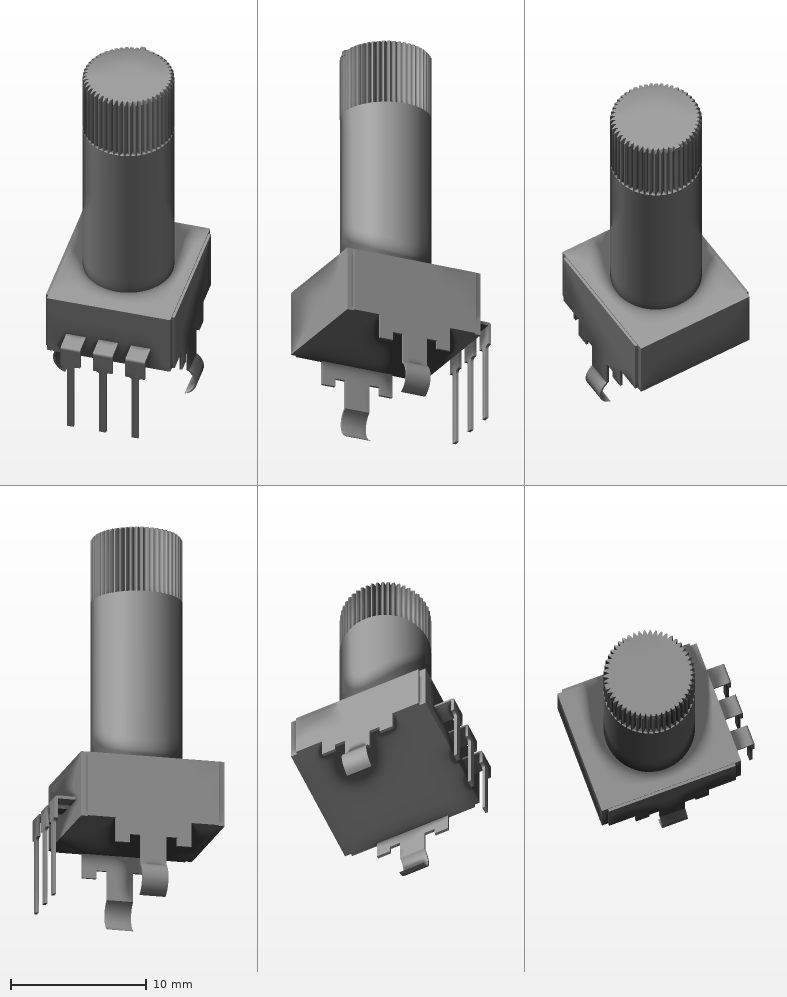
import cadquery as cq
import math


OVERALL_HEIGHT = 28.93

HOUSING_WIDTH = 9.5
HOUSING_DEPTH = 11.0
HOUSING_HEIGHT = 4.98

SHAFT_DIAMETER = 6.8
SHAFT_RADIUS = SHAFT_DIAMETER / 2
SHAFT_TOP = 23.17
HEAD_LENGTH = 5.0
HEAD_CHAMFER = 0.2
GROOVE_COUNT = 50
GROOVE_DEPTH = 0.4
GROOVE_WIDTH = 0.35

POINTER_WIDTH = 0.4
POINTER_LENGTH = 0.8
POINTER_HEIGHT = 0.4

TERMINAL_COUNT = 3
TERMINAL_PITCH = 2.5
TERMINAL_WIDTH = 1.5
TERMINAL_THICKNESS = 0.23
TERMINAL_TOP = 1.88
TERMINAL_REACH = 1.62
BEND_RADIUS = 0.2
SHOULDER_Z = 0.17
SHOULDER_RADIUS = 0.25
PIN_WIDTH = 0.52
PIN_BOTTOM = -5.58

SELECTION_MARGIN = 0.03

CLIP_SPAN = 11.05
CLIP_THICKNESS = 0.2
CLIP_DEPTH = 10.0
CLIP_TOP = 4.9
SKIRT_DEPTH = 5.8
SKIRT_BOTTOM = -1.85
TAB_DEPTH = 1.07
NOTCH_TOP = -1.22
HOOK_DEPTH = 2.0
HOOK_TOP = -3.38
HOOK_RADIUS = 1.33
HOOK_THICKNESS = 0.17
HOOK_SETBACK = 0.05
HOOK_BOTTOM = SHAFT_TOP - OVERALL_HEIGHT


def make_housing():
    return cq.Workplane("XY").box(
        HOUSING_WIDTH, HOUSING_DEPTH, HOUSING_HEIGHT, centered=(True, True, False)
    )


def make_pointer():
    corner = (0, SHAFT_RADIUS - POINTER_LENGTH, SHAFT_TOP - POINTER_HEIGHT)
    bar = cq.Workplane("XY").box(POINTER_WIDTH, POINTER_LENGTH, POINTER_HEIGHT, centered=False)
    return bar.translate(corner)


def make_grooves():
    """V-shaped cutters around the shaft head, the first one on the +Y side."""
    half_width = GROOVE_WIDTH / 2
    root = SHAFT_RADIUS - GROOVE_DEPTH
    cutter = (
        cq.Workplane("XY", origin=(0, 0, SHAFT_TOP - HEAD_LENGTH))
        .polyline([(0, root), (half_width, SHAFT_RADIUS), (-half_width, SHAFT_RADIUS)])
        .close()
        .extrude(HEAD_LENGTH)
        .val()
    )
    step = 360 / GROOVE_COUNT
    return [cutter.rotate((0, 0, 0), (0, 0, 1), i * step) for i in range(GROOVE_COUNT)]


def make_shaft(pointer):
    blank = (
        cq.Workplane("XY", origin=(0, 0, HOUSING_HEIGHT))
        .circle(SHAFT_RADIUS)
        .extrude(SHAFT_TOP - HOUSING_HEIGHT)
        .faces(">Z")
        .chamfer(HEAD_CHAMFER)
    )
    knurled = blank.cut(cq.Workplane(cq.Compound.makeCompound(make_grooves())))
    return knurled.cut(pointer)


def make_terminal(x):
    face = -HOUSING_DEPTH / 2
    front = face - TERMINAL_REACH
    back = front + TERMINAL_THICKNESS
    underside = TERMINAL_TOP - TERMINAL_THICKNESS
    half_width = TERMINAL_WIDTH / 2
    half_pin = PIN_WIDTH / 2

    strip = (
        cq.Workplane("YZ")
        .polyline([
            (face, TERMINAL_TOP),
            (front, TERMINAL_TOP),
            (front, PIN_BOTTOM),
            (back, PIN_BOTTOM),
            (back, underside),
            (face, underside),
        ])
        .close()
        .extrude(half_width, both=True)
        .edges("|X and <Y and >Z")
        .fillet(BEND_RADIUS)
    )

    outline = (
        cq.Workplane("XZ", origin=(0, face, 0))
        .polyline([
            (-half_width, TERMINAL_TOP),
            (-half_width, SHOULDER_Z),
            (-half_pin, SHOULDER_Z),
            (-half_pin, PIN_BOTTOM),
            (half_pin, PIN_BOTTOM),
            (half_pin, SHOULDER_Z),
            (half_width, SHOULDER_Z),
            (half_width, TERMINAL_TOP),
        ])
        .close()
        .extrude(TERMINAL_REACH)
    )
    inner_corners = cq.selectors.BoxSelector(
        (-half_pin - SELECTION_MARGIN, front - SELECTION_MARGIN, SHOULDER_Z - SELECTION_MARGIN),
        (half_pin + SELECTION_MARGIN, face + SELECTION_MARGIN, SHOULDER_Z + SELECTION_MARGIN),
    )
    outline = outline.edges("|Y").edges(inner_corners).fillet(SHOULDER_RADIUS)
    return strip.intersect(outline).translate((x, 0, 0))


def make_right_clip():
    inner = HOUSING_WIDTH / 2
    outer = inner + CLIP_THICKNESS

    plate_edge = CLIP_DEPTH / 2
    skirt_edge = SKIRT_DEPTH / 2
    tab_edge = skirt_edge - TAB_DEPTH
    hook_edge = HOOK_DEPTH / 2
    half_outline = [
        (plate_edge, CLIP_TOP),
        (plate_edge, 0),
        (skirt_edge, 0),
        (skirt_edge, SKIRT_BOTTOM),
        (tab_edge, SKIRT_BOTTOM),
        (tab_edge, NOTCH_TOP),
        (hook_edge, NOTCH_TOP),
        (hook_edge, HOOK_TOP),
    ]
    mirrored_half = [(-y, z) for y, z in reversed(half_outline)]
    plate = (
        cq.Workplane("YZ", origin=(inner, 0, 0))
        .polyline(half_outline + mirrored_half)
        .close()
        .extrude(CLIP_THICKNESS)
    )

    bulge = CLIP_SPAN / 2
    centre_x = bulge - HOOK_RADIUS
    centre_z = HOOK_TOP - math.sqrt(HOOK_RADIUS**2 - (outer - centre_x) ** 2)
    tip_x = centre_x + math.sqrt(HOOK_RADIUS**2 - (HOOK_BOTTOM - centre_z) ** 2)
    hook = (
        cq.Workplane("XZ")
        .moveTo(outer, HOOK_TOP)
        .threePointArc((bulge, centre_z), (tip_x, HOOK_BOTTOM))
        .threePointArc((bulge - HOOK_THICKNESS, centre_z), (inner, HOOK_TOP - HOOK_SETBACK))
        .lineTo(inner, HOOK_TOP)
        .close()
        .extrude(hook_edge, both=True)
    )
    return plate.union(hook)


housing = make_housing()
pointer = make_pointer()
shaft = make_shaft(pointer)

first_terminal_x = -TERMINAL_PITCH * (TERMINAL_COUNT - 1) / 2
terminals = [make_terminal(first_terminal_x + i * TERMINAL_PITCH) for i in range(TERMINAL_COUNT)]

right_clip = make_right_clip()
clips = [right_clip, right_clip.mirror("YZ")]

result = cq.Compound.makeCompound([
    housing.val(),
    shaft.val(),
    pointer.val(),
    *[terminal.val() for terminal in terminals],
    *[clip.val() for clip in clips],
])